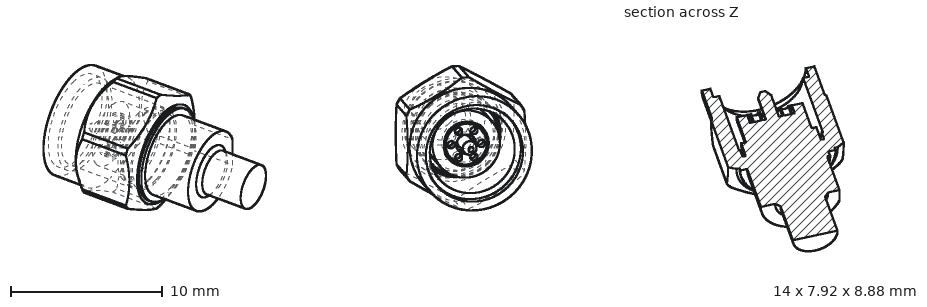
import cadquery as cq
import math

overall_length = 13.99

sleeve_radius = 3.86
sleeve_end = 2.53
hex_width = 7.92
hex_height = 8.88
hex_corner_radius = hex_height / 2
hex_half_sector = 30.0
nut_end = 7.1
front_chamfer_angle = 45.0
rear_chamfer_angle = 30.0
rear_chamfer_length = 0.56

collar_radius = 3.26
collar_end = 7.3
body_radius = 2.8
body_end = 10.67
body_flat_start = 7.68
body_flat_offset = 2.6
neck_radius = 1.82
neck_end = 10.97
tube_radius = 1.54

entry_radius = 3.26
entry_depth = 0.75
bore_radius = 2.85
bore_depth = 5.6
clearance_radius = 2.77
clearance_depth = 6.15
shoulder_radius = 2.59
shoulder_start = 5.04
plug_radius = 2.27
plug_face = 2.81

recess_depth = 0.7
groove_outer_radius = 1.51
groove_width = 0.133
groove_inner_radius = groove_outer_radius - groove_width
hole_count = 6
hole_circle_radius = 1.02
hole_radius = 0.24
pin_well_radius = 0.66

pin_radius = 0.46
pin_tip_radius = 0.17
pin_tip = 1.16
pin_cone_end = 1.62
pin_root = 4.2


def cylinder(radius, start, end):
    """Cylinder on the X axis from X = start to X = end."""
    return cq.Workplane("YZ").workplane(offset=start).circle(radius).extrude(end - start)


def revolve_about_x(points):
    """Revolve an (x, radius) outline about the X axis."""
    return cq.Workplane("XY").polyline(points).close().revolve(360, (0, 0, 0), (1, 0, 0))


def cone(start, start_radius, end, end_radius):
    """Truncated cone on the X axis."""
    return revolve_about_x([(start, 0), (start, start_radius), (end, end_radius), (end, 0)])


def make_nut():
    """Round sleeve followed by a hexagon with turned, chamfered corners."""
    front_chamfer_length = (hex_corner_radius - sleeve_radius) / math.tan(math.radians(front_chamfer_angle))
    rear_radius = hex_corner_radius - rear_chamfer_length / math.tan(math.radians(rear_chamfer_angle))
    turned_blank = revolve_about_x([
        (sleeve_end, 0),
        (sleeve_end, sleeve_radius),
        (sleeve_end + front_chamfer_length, hex_corner_radius),
        (nut_end - rear_chamfer_length, hex_corner_radius),
        (nut_end, rear_radius),
        (nut_end, 0),
    ])
    across_corners = hex_width / math.cos(math.radians(hex_half_sector))
    hexagon = (
        cq.Workplane("YZ").workplane(offset=sleeve_end)
        .transformed(rotate=(0, 0, hex_half_sector))
        .polygon(6, across_corners)
        .extrude(nut_end - sleeve_end)
    )
    return cylinder(sleeve_radius, 0, sleeve_end).union(turned_blank.intersect(hexagon))


def make_rear():
    """Collar, body with a flat on +Y, tapered neck and cable tube."""
    body = cylinder(body_radius, collar_end, body_end)
    flat_cut = cq.Workplane("XY").box(
        body_end - body_flat_start, body_radius, 2 * body_radius, centered=(False, False, True)
    ).translate((body_flat_start, body_flat_offset, 0))
    return (
        cylinder(collar_radius, nut_end, collar_end)
        .union(body.cut(flat_cut))
        .union(cone(body_end, neck_radius, neck_end, tube_radius))
        .union(cylinder(tube_radius, neck_end, overall_length))
    )


def make_socket():
    """Stepped hollow of the nut, leaving the inner plug and its shoulder standing."""
    return revolve_about_x([
        (0, 0),
        (0, entry_radius),
        (entry_depth, entry_radius),
        (entry_depth, bore_radius),
        (bore_depth, bore_radius),
        (bore_depth, clearance_radius),
        (clearance_depth, clearance_radius),
        (clearance_depth, shoulder_radius),
        (shoulder_start, shoulder_radius),
        (shoulder_start, plug_radius),
        (plug_face, plug_radius),
        (plug_face, 0),
    ])


def make_face_recesses():
    """Ring groove, ring of small holes and the well around the pin."""
    recess_end = plug_face + recess_depth
    groove = cylinder(groove_outer_radius, plug_face, recess_end).cut(
        cylinder(groove_inner_radius, plug_face, recess_end)
    )
    holes = (
        cq.Workplane("YZ").workplane(offset=plug_face)
        .polarArray(hole_circle_radius, 0, 360, hole_count)
        .circle(hole_radius)
        .extrude(recess_depth)
    )
    return groove.union(holes).union(cylinder(pin_well_radius, plug_face, recess_end))


def make_pin():
    """Contact pin with a tapered tip, rooted in the plug behind its well."""
    return cone(pin_tip, pin_tip_radius, pin_cone_end, pin_radius).union(
        cylinder(pin_radius, pin_cone_end, pin_root)
    )


result = (
    make_nut()
    .union(make_rear())
    .cut(make_socket())
    .cut(make_face_recesses())
    .union(make_pin())
)